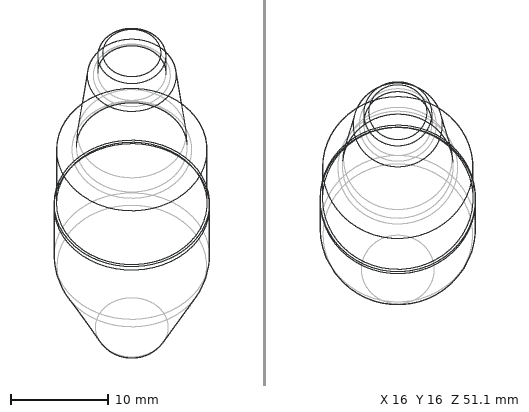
import cadquery as cq
import math

total_height = 51.1
nose_diameter = 16.0
collar_diameter = 15.5
pin_diameter = 7.0

tip_radius = 4.0
cone_angle = math.radians(20.0)
nose_blend_radius = 5.1
seam_z = 23.9

flange_height = 0.6
collar_height = 9.5
neck_height = 13.15
neck_diameter = 11.4
neck_top_diameter = 9.15
neck_blend_height = 2.35
root_fillet = 0.45
pin_chamfer = 0.5


def revolve_profile(profile):
    """Revolve a closed half-profile, drawn in XZ, about the Z axis."""
    return profile.close().revolve(360, (0, 0, 0), (0, 1, 0))


def arc_point(center_r, center_z, radius, angle):
    """Point on a circle in the (r, z) plane, angle measured from the r direction."""
    return center_r + radius * math.cos(angle), center_z + radius * math.sin(angle)


def make_nose():
    """Solid nose with arcs tangent to the cone at both of its ends."""
    nose_radius = nose_diameter / 2
    blend_r = nose_radius - nose_blend_radius
    cone_bottom = arc_point(0, tip_radius, tip_radius, -cone_angle)
    tip_middle = arc_point(0, tip_radius, tip_radius, -(math.pi / 2 + cone_angle) / 2)
    cone_top_r = arc_point(blend_r, 0, nose_blend_radius, -cone_angle)[0]
    cone_top_z = cone_bottom[1] + (cone_top_r - cone_bottom[0]) / math.tan(cone_angle)
    cylinder_z = cone_top_z + nose_blend_radius * math.sin(cone_angle)
    blend_middle = arc_point(blend_r, cylinder_z, nose_blend_radius, -cone_angle / 2)
    return revolve_profile(
        cq.Workplane("XZ")
        .moveTo(0, 0)
        .threePointArc(tip_middle, cone_bottom)
        .lineTo(cone_top_r, cone_top_z)
        .threePointArc(blend_middle, (nose_radius, cylinder_z))
        .lineTo(nose_radius, seam_z)
        .lineTo(0, seam_z)
    )


def make_stem():
    """Flange, collar, tapered neck and chamfered pin in one turned piece."""
    flange_radius = nose_diameter / 2
    collar_radius = collar_diameter / 2
    neck_radius = neck_diameter / 2
    neck_top_radius = neck_top_diameter / 2
    pin_radius = pin_diameter / 2
    flange_z = seam_z + flange_height
    shoulder_z = flange_z + collar_height
    neck_top_z = shoulder_z + neck_height

    blend_start_z = shoulder_z + root_fillet
    blend_end_z = blend_start_z + neck_blend_height
    mean_taper = math.atan(
        (neck_radius - neck_top_radius) / (neck_top_z - blend_start_z - neck_blend_height / 2)
    )
    neck_blend_radius = neck_blend_height / math.sin(mean_taper)
    neck_blend_r = neck_radius - neck_blend_radius
    blend_middle = arc_point(neck_blend_r, blend_start_z, neck_blend_radius, mean_taper / 2)
    blend_end_r = arc_point(neck_blend_r, blend_start_z, neck_blend_radius, mean_taper)[0]

    fillet_middle_angle = math.radians(225)
    neck_fillet_middle = arc_point(
        neck_radius + root_fillet, blend_start_z, root_fillet, fillet_middle_angle
    )
    pin_fillet_middle = arc_point(
        pin_radius + root_fillet, neck_top_z + root_fillet, root_fillet, fillet_middle_angle
    )
    return revolve_profile(
        cq.Workplane("XZ")
        .moveTo(0, seam_z)
        .lineTo(flange_radius, seam_z)
        .lineTo(flange_radius, flange_z)
        .lineTo(collar_radius, flange_z)
        .lineTo(collar_radius, shoulder_z)
        .lineTo(neck_radius + root_fillet, shoulder_z)
        .threePointArc(neck_fillet_middle, (neck_radius, blend_start_z))
        .threePointArc(blend_middle, (blend_end_r, blend_end_z))
        .lineTo(neck_top_radius, neck_top_z)
        .lineTo(pin_radius + root_fillet, neck_top_z)
        .threePointArc(pin_fillet_middle, (pin_radius, neck_top_z + root_fillet))
        .lineTo(pin_radius, total_height - pin_chamfer)
        .lineTo(pin_radius - pin_chamfer, total_height)
        .lineTo(0, total_height)
    )


nose = make_nose()
stem = make_stem()

result = cq.Compound.makeCompound([nose.val(), stem.val()])